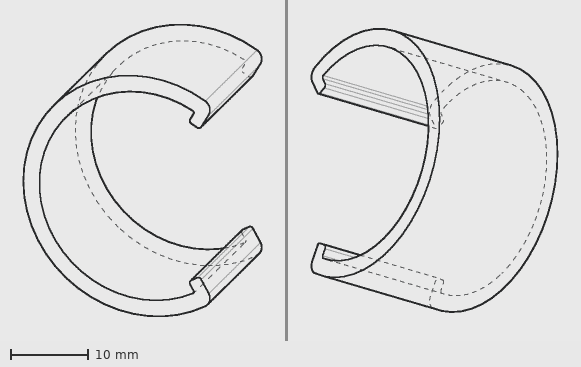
import cadquery as cq
import math

outer_radius = 16.5
wall = 2.2
width = 20.0
lip_angle = 60.0
lip_outer_offset = 1.6
lip_inner_offset = 0.15
lip_tip_distance = 12.65
shoulder_fillet = 1.4
tip_fillet = 0.4
root_fillet = 0.3

inner_radius = outer_radius - wall
angle = math.radians(lip_angle)


def lip_point(along, across):
    """XZ point of the upper lip: along its radial line, and across it toward the mouth."""
    x = along * math.cos(angle) + across * math.sin(angle)
    z = along * math.sin(angle) - across * math.cos(angle)
    return (x, z)


def mirrored(point):
    """The matching point of the lower lip."""
    return (point[0], -point[1])


shoulder = lip_point(math.sqrt(outer_radius**2 - lip_outer_offset**2), lip_outer_offset)
tip_outer = lip_point(lip_tip_distance, lip_outer_offset)
tip_inner = lip_point(lip_tip_distance, -lip_inner_offset)
root = lip_point(math.sqrt(inner_radius**2 - lip_inner_offset**2), -lip_inner_offset)

clip = (
    cq.Workplane("XZ")
    .moveTo(*shoulder)
    .threePointArc((-outer_radius, 0), mirrored(shoulder))
    .lineTo(*mirrored(tip_outer))
    .lineTo(*mirrored(tip_inner))
    .lineTo(*mirrored(root))
    .threePointArc((-inner_radius, 0), root)
    .lineTo(*tip_inner)
    .lineTo(*tip_outer)
    .close()
    .extrude(width / 2, both=True)
)


def round_corners(body, corners, radius):
    """Fillet the full-width edges at the given corners of both lips."""
    for corner in corners:
        for x, z in (corner, mirrored(corner)):
            edge = cq.selectors.NearestToPointSelector((x, 0, z))
            body = body.edges("|Y").edges(edge).fillet(radius)
    return body


clip = round_corners(clip, [shoulder], shoulder_fillet)
clip = round_corners(clip, [tip_outer, tip_inner], tip_fillet)
result = round_corners(clip, [root], root_fillet)